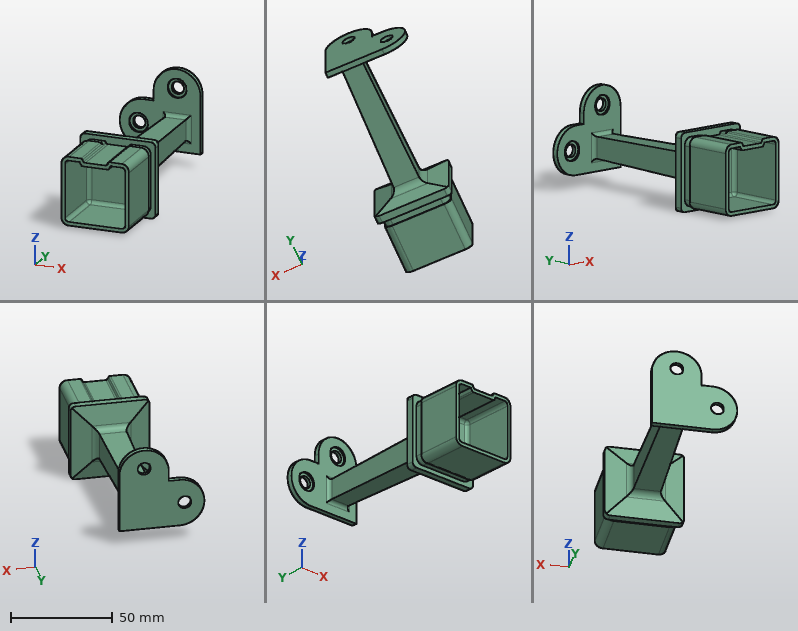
import cadquery as cq
import math


flange_size = 40.0
flange_corner = 2.5
flange_thickness = 4.0
pyramid_slope = 15.0
root_fillet = 4.0

beam_size_at_flange = 14.0
beam_size_at_plate = 11.0
foot_fillet = 2.0

plate_thickness = 3.0
plate_back = 81.0
plate_front = plate_back - plate_thickness
lobe_radius = 12.5
lobe_offset = 18.0

screw_offset = 20.5
screw_hole_diameter = 6.5
counterbore_diameter = 10.0
counterbore_depth = 1.0

socket_size = 36.0
socket_length = 30.0
socket_corner = 4.0
wall = 2.0
floor_fillet = 2.0
neck_length = 4.0
neck_inset = 0.5

channel_depth = 2.0
channel_floor_width = 11.9
channel_flank_angle = 60.0
channel_fillet = 1.0


def plane_at(y):
    """XZ plane at the given Y, with local x = X, local y = Z and normal -Y."""
    return cq.Workplane("XZ", origin=(0, y, 0))


def rounded_square(size, corner, y_front, y_back):
    block = plane_at(y_back).rect(size, size).extrude(y_back - y_front)
    return block.edges("|Y").fillet(corner)


def make_arm_profile():
    """Side profile of flange, pyramid, beam and plate core, extruded along Z."""
    flange_half = flange_size / 2
    beam_half = beam_size_at_flange / 2
    foot_half = beam_size_at_plate / 2
    taper = (beam_half - foot_half) / (plate_front - flange_thickness)

    pyramid_run = 1 / math.tan(math.radians(pyramid_slope))
    rise = (flange_half - beam_half) / (pyramid_run - taper)
    root_half = beam_half - taper * rise
    root_y = flange_thickness + rise

    right_side = [
        (flange_half, 0),
        (flange_half, flange_thickness),
        (root_half, root_y),
        (foot_half, plate_front),
        (lobe_radius, plate_front),
        (lobe_radius, plate_back),
    ]
    left_side = [(-x, y) for x, y in reversed(right_side)]
    profile = cq.Workplane("XY").polyline(right_side + left_side).close().extrude(flange_half, both=True)

    for x, y, radius in ((root_half, root_y, root_fillet), (foot_half, plate_front, foot_fillet)):
        for side in (-1, 1):
            corner = cq.selectors.NearestToPointSelector((side * x, y, 0))
            profile = profile.edges("|Z").edges(corner).fillet(radius)
    return profile


def make_arm():
    """Flange, pyramid, beam and plate core: the same profile seen along Z and along X."""
    profile = make_arm_profile()
    turned_profile = profile.rotate((0, 0, 0), (0, 1, 0), 90)
    envelope = rounded_square(flange_size, flange_corner, 0, plate_back)
    return profile.intersect(turned_profile).intersect(envelope)


def make_wall_plate():
    r = lobe_radius
    return (
        plane_at(plate_back)
        .moveTo(r, -r)
        .lineTo(r, lobe_offset)
        .threePointArc((0, lobe_offset + r), (-r, lobe_offset))
        .lineTo(-r, r)
        .lineTo(-lobe_offset, r)
        .threePointArc((-lobe_offset - r, 0), (-lobe_offset, -r))
        .close()
        .extrude(plate_thickness)
    )


def make_screw_holes():
    centers = [(-screw_offset, 0), (0, screw_offset)]
    holes = plane_at(plate_back).pushPoints(centers).circle(screw_hole_diameter / 2).extrude(plate_thickness)
    counterbores = (
        plane_at(plate_front + counterbore_depth)
        .pushPoints(centers)
        .circle(counterbore_diameter / 2)
        .extrude(counterbore_depth)
    )
    return holes.union(counterbores)


def make_channel(inset, y_front, y_back):
    """Channel cutter with rounded floor corners, its floor and flanks moved inwards by inset."""
    half = socket_size / 2 - inset
    floor_z = half - channel_depth
    flank_angle = math.radians(channel_flank_angle)
    floor_half = channel_floor_width / 2 + inset * math.tan(flank_angle / 2)
    top_half = floor_half + channel_depth / math.tan(flank_angle)
    outline = [(-top_half, half), (top_half, half), (floor_half, floor_z), (-floor_half, floor_z)]
    channel = plane_at(y_back).polyline(outline).close().extrude(y_back - y_front)
    return channel.faces("<Z").edges("|Y").fillet(channel_fillet)


def make_outer_prism(inset, y_front, y_back):
    """Socket outside with its four sides, but not the channel, moved inwards by inset."""
    size = socket_size - 2 * inset
    prism = rounded_square(size, socket_corner, y_front, y_back).cut(make_channel(0, y_front, y_back))
    channel_reach = channel_floor_width / 2 + channel_depth
    lip_box = cq.selectors.BoxSelector(
        (-channel_reach, y_front, size / 2 - channel_fillet / 2),
        (channel_reach, y_back, size / 2 + channel_fillet / 2),
    )
    return prism.edges("|Y").edges(lip_box).fillet(channel_fillet)


def make_cavity():
    size = socket_size - 2 * wall
    cavity = rounded_square(size, socket_corner - wall, -socket_length, 0)
    cavity = cavity.cut(make_channel(wall, -socket_length, 0))
    return cavity.faces(">Y").edges().fillet(floor_fillet)


def make_socket():
    body = make_outer_prism(0, -socket_length, -neck_length)
    neck = make_outer_prism(neck_inset, -neck_length, 0)
    return body.union(neck).cut(make_cavity())


result = make_arm().union(make_wall_plate()).cut(make_screw_holes()).union(make_socket())